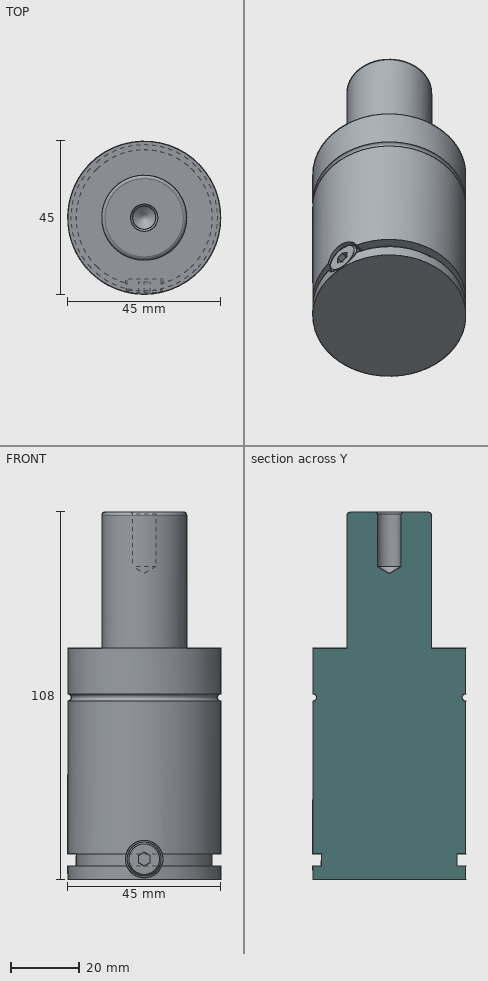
import cadquery as cq
import math

BODY_DIAMETER = 45.0
BODY_HEIGHT = 68.0
ROD_DIAMETER = 25.0
TOTAL_HEIGHT = 108.0
ROD_EDGE_RADIUS = 1.0

BASE_FLANGE_HEIGHT = 4.0
MOUNT_GROOVE_WIDTH = 3.5
MOUNT_GROOVE_DIAMETER = 40.0

WIRE_GROOVE_RADIUS = 1.0
WIRE_GROOVE_HEIGHT = 53.5

ROD_HOLE_DIAMETER = 6.8
ROD_HOLE_MOUTH_DIAMETER = 8.0
ROD_HOLE_DEPTH = 16.0
DRILL_TIP_ANGLE = 118.0

PORT_HEIGHT = 6.0
PORT_DIAMETER = 11.0
PORT_FLOOR_RADIUS = 18.0
PLUG_DIAMETER = 10.0
PLUG_FACE_RADIUS = 21.9
PLUG_CHAMFER = 0.5
SOCKET_ACROSS_FLATS = 3.5
SOCKET_DEPTH = 3.0


def cylinder(diameter, bottom, top):
    """Upright cylinder on the Z axis."""
    return cq.Workplane("XY").workplane(offset=bottom).circle(diameter / 2).extrude(top - bottom)


def make_body():
    """Cylinder body with the square-sided mounting groove and the rounded groove."""
    groove_top = BASE_FLANGE_HEIGHT + MOUNT_GROOVE_WIDTH
    flange = cylinder(BODY_DIAMETER, 0, BASE_FLANGE_HEIGHT)
    neck = cylinder(MOUNT_GROOVE_DIAMETER, 0, groove_top)
    barrel = cylinder(BODY_DIAMETER, groove_top, BODY_HEIGHT)
    wire_ring = cq.Workplane("XY").add(
        cq.Solid.makeTorus(BODY_DIAMETER / 2, WIRE_GROOVE_RADIUS, cq.Vector(0, 0, WIRE_GROOVE_HEIGHT))
    )
    return flange.union(neck).union(barrel).cut(wire_ring)


def make_rod():
    """Piston rod with a rounded top edge."""
    rod = cylinder(ROD_DIAMETER, BODY_HEIGHT, TOTAL_HEIGHT)
    return rod.faces(">Z").edges().fillet(ROD_EDGE_RADIUS)


def rod_hole():
    """Countersunk blind hole with a conical drill tip, revolved about Z."""
    radius = ROD_HOLE_DIAMETER / 2
    mouth_radius = ROD_HOLE_MOUTH_DIAMETER / 2
    countersink_depth = mouth_radius - radius
    hole_bottom = TOTAL_HEIGHT - ROD_HOLE_DEPTH
    tip_length = radius / math.tan(math.radians(DRILL_TIP_ANGLE / 2))
    return (
        cq.Workplane("XZ")
        .moveTo(0, TOTAL_HEIGHT)
        .lineTo(mouth_radius, TOTAL_HEIGHT)
        .lineTo(radius, TOTAL_HEIGHT - countersink_depth)
        .lineTo(radius, hole_bottom)
        .lineTo(0, hole_bottom - tip_length)
        .close()
        .revolve(360, (0, 0), (0, 1))
    )


def port_plane(radius):
    """Plane facing -Y, centred on the port axis at the given distance from the body axis."""
    return cq.Workplane("XZ", origin=(0, -radius, PORT_HEIGHT))


def make_port():
    """Round pocket from its floor out past the body surface."""
    return port_plane(PORT_FLOOR_RADIUS).circle(PORT_DIAMETER / 2).extrude(BODY_DIAMETER / 2)


def make_plug():
    """Chamfered plug seated on the port floor, with a hexagon socket."""
    plug = (
        port_plane(PORT_FLOOR_RADIUS)
        .circle(PLUG_DIAMETER / 2)
        .extrude(PLUG_FACE_RADIUS - PORT_FLOOR_RADIUS)
        .faces("<Y")
        .edges()
        .chamfer(PLUG_CHAMFER)
    )
    across_corners = SOCKET_ACROSS_FLATS / math.cos(math.pi / 6)
    socket = (
        port_plane(PLUG_FACE_RADIUS - SOCKET_DEPTH)
        .transformed(rotate=(0, 0, 90))
        .polygon(6, across_corners)
        .extrude(SOCKET_DEPTH)
    )
    return plug.cut(socket)


result = make_body().union(make_rod()).cut(rod_hole()).cut(make_port()).union(make_plug())